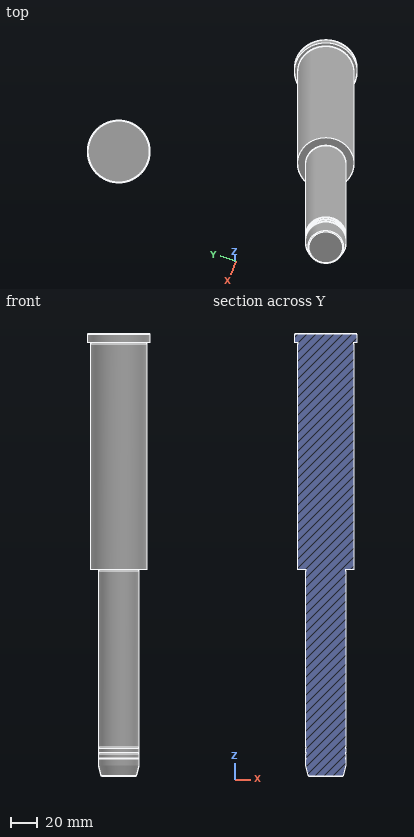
import cadquery as cq

total_length = 331.0
head_diameter = 47.0
head_thickness = 6.5
head_chamfer = 0.5
body_diameter = 42.5
shaft_diameter = 30.5
shaft_length = 154.5

tip_diameter = 26.5
tip_length = 8.0
tip_chamfer = 0.5

groove_count = 3
groove_width = 1.0
groove_depth = 0.15
groove_pitch = 4.0
first_groove_height = 13.0


def cylinder(diameter, bottom, top):
    """Upright cylinder on the Z axis between two heights."""
    return cq.Workplane("XY").workplane(offset=bottom).circle(diameter / 2).extrude(top - bottom)


def ring_groove(outer_diameter, bottom):
    """Ring of material to remove from a cylindrical surface."""
    core_diameter = outer_diameter - 2 * groove_depth
    top = bottom + groove_width
    return cylinder(outer_diameter, bottom, top).cut(cylinder(core_diameter, bottom, top))


head_bottom = total_length - head_thickness
tip = (
    cq.Workplane("XY")
    .circle(tip_diameter / 2)
    .workplane(offset=tip_length)
    .circle(shaft_diameter / 2)
    .loft(ruled=True)
    .faces("<Z")
    .chamfer(tip_chamfer)
)
shaft = cylinder(shaft_diameter, tip_length, shaft_length)
body = cylinder(body_diameter, shaft_length, head_bottom)
head = cylinder(head_diameter, head_bottom, total_length)
head = head.faces(">Z").chamfer(head_chamfer)
result = tip.union(shaft).union(body).union(head)

for index in range(groove_count):
    result = result.cut(ring_groove(shaft_diameter, first_groove_height + index * groove_pitch))

result = result.cut(ring_groove(shaft_diameter, shaft_length - groove_width))
result = result.cut(ring_groove(body_diameter, head_bottom - groove_width))